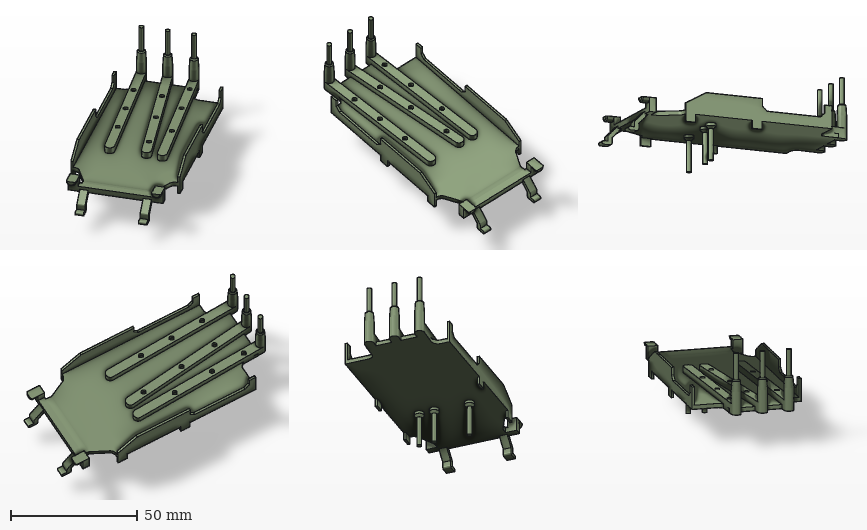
import cadquery as cq
import math


overall_length = 97.6

plate_half_width = 45.0 / 2
plate_thickness = 1.8
plate_back = -10.9
plate_front = -74.2
corner_radius = 2.9
tongue_left = -15.8
tongue_right = 9.7
tongue_back = -2.4
neck_half_width = 14.7
neck_shoulder_half_width = 19.3
neck_start = -83.1

wall_thickness = 1.0
wall_top = 9.4
wall_low_top = 4.4
wall_tab_length = 3.0
wall_notch_front = -41.0
wall_notch_chamfer = 2.0
wall_notch_corner_height = 6.1
wall_slope_start = -65.4
foot_length = 4.2
foot_depth = 3.2
middle_foot_back = -41.2

bar_back = -85.7
bar_front = -88.6
bar_height = 2.3
block_inner = 15.5
block_width = 4.0
block_height = 5.9
lug_length = 3.2
lug_chamfer = 0.5
hook_width = 3.4
hook_top = 1.1
hook_root_back = -87.2
hook_vertical_back = -91.2
hook_vertical_front = -93.1
hook_lip_top = -5.6
hook_bottom = -7.0
hook_heel_radius = 1.0
hook_bend_radius = 0.8

arm_diameter = 4.0
arm_height = 4.4
arm_length = 58.3
port_diameter = 2.0
inlet_pitch = 10.8
middle_inlet_x = -3.4
arms = [
    (middle_inlet_x - inlet_pitch, 3.3, (14.5, 29.1, 43.6)),
    (middle_inlet_x, 7.5, (16.1, 32.6, 51.6)),
    (middle_inlet_x + inlet_pitch, 3.3, (7.9, 23.0, 40.8)),
]

hook_tip = arm_diameter / 2 - overall_length

pin_diameter = 2.0
inlet_sleeve_top = 9.4
inlet_taper_top = 13.8
inlet_taper_diameter = 3.4
inlet_taper_chamfer = 0.5
inlet_pin_top = 25.1
outlet_head_depth = 1.2
outlet_pin_depth = 14.9


def box(x_min, x_max, y_min, y_max, z_min, z_max):
    size = (x_max - x_min, y_max - y_min, z_max - z_min)
    return cq.Workplane("XY").box(*size, centered=False).translate((x_min, y_min, z_min))


def extrude_side_profile(profile, x_min, x_max):
    """Extrude a closed YZ outline from x_min to x_max."""
    return cq.Workplane("YZ").workplane(offset=x_min).polyline(profile).close().extrude(x_max - x_min)


def both_sides(solid):
    return solid.union(solid.mirror("YZ"))


def make_plate():
    outline = [
        (tongue_left, tongue_back),
        (tongue_right, tongue_back),
        (tongue_right, plate_back),
        (plate_half_width, plate_back),
        (plate_half_width, plate_front),
        (neck_shoulder_half_width, plate_front),
        (neck_half_width, neck_start),
        (neck_half_width, bar_back),
        (-neck_half_width, bar_back),
        (-neck_half_width, neck_start),
        (-neck_shoulder_half_width, plate_front),
        (-plate_half_width, plate_front),
        (-plate_half_width, plate_back),
        (tongue_left, plate_back),
    ]
    rounded_corners = [
        (tongue_right, plate_back),
        (tongue_left, plate_back),
        (neck_shoulder_half_width, plate_front),
        (-neck_shoulder_half_width, plate_front),
        (neck_half_width, neck_start),
        (-neck_half_width, neck_start),
    ]
    plate = cq.Workplane("XY").polyline(outline).close().extrude(plate_thickness)
    for x, y in rounded_corners:
        nearest = cq.selectors.NearestToPointSelector((x, y, plate_thickness / 2))
        plate = plate.edges("|Z").edges(nearest).fillet(corner_radius)
    return plate


def make_walls():
    tab_front = plate_back - wall_tab_length
    profile = [
        (plate_back, 0),
        (plate_back, wall_top),
        (tab_front, wall_top),
        (tab_front, wall_notch_corner_height),
        (tab_front - wall_notch_chamfer, wall_low_top),
        (wall_notch_front + wall_notch_chamfer, wall_low_top),
        (wall_notch_front, wall_notch_corner_height),
        (wall_notch_front, wall_top),
        (wall_slope_start, wall_top),
        (plate_front, wall_low_top),
        (plate_front, 0),
    ]
    x_min = plate_half_width - wall_thickness
    wall = extrude_side_profile(profile, x_min, plate_half_width)
    for foot_front in (middle_foot_back - foot_length, plate_front):
        foot_back = foot_front + foot_length
        wall = wall.union(box(x_min, plate_half_width, foot_front, foot_back, -foot_depth, wall_low_top))
    return both_sides(wall)


def make_cross_bar():
    bar = box(-block_inner, block_inner, bar_front, bar_back, 0, bar_height)
    ramp_profile = [
        (neck_start, 0),
        (neck_start, plate_thickness),
        (bar_back, bar_height),
        (bar_back, 0),
    ]
    ramp = extrude_side_profile(ramp_profile, -neck_half_width, neck_half_width)
    block = box(block_inner, block_inner + block_width, bar_front, bar_back, 0, block_height)
    return bar.union(ramp).union(both_sides(block.union(make_lug())))


def make_lug():
    """Half-round lug on the front of a block, flat side level with the block top."""
    radius = block_width / 2
    lug_x = block_inner + radius
    rod = (
        cq.Workplane("XZ", origin=(lug_x, bar_front, block_height))
        .circle(radius)
        .extrude(lug_length)
        .faces("<Y")
        .chamfer(lug_chamfer)
    )
    lower_half = box(
        block_inner, block_inner + block_width,
        bar_front - lug_length, bar_front,
        block_height - radius, block_height,
    )
    return rod.intersect(lower_half)


def make_hooks():
    """Hooks running forwards and down at 45 degrees, ending in a vertical leg and a lip."""
    bend_z = hook_top - (bar_front - hook_vertical_front)
    nose_radius = (hook_lip_top - hook_bottom) / 2
    nose_start = hook_tip + nose_radius
    x_min = neck_half_width - hook_width
    upper_side = [
        (hook_root_back, 0),
        (hook_root_back, hook_top),
        (bar_front, hook_top),
        (hook_vertical_front, bend_z),
        (hook_vertical_front, hook_lip_top),
        (nose_start, hook_lip_top),
    ]
    hook = (
        cq.Workplane("YZ", origin=(x_min, 0, 0))
        .polyline(upper_side)
        .threePointArc((hook_tip, hook_bottom + nose_radius), (nose_start, hook_bottom))
        .lineTo(hook_vertical_back, hook_bottom)
        .lineTo(hook_vertical_back, hook_vertical_back - hook_root_back)
        .close()
        .extrude(hook_width)
    )
    roundings = [
        (hook_vertical_front, bend_z, hook_bend_radius),
        (hook_vertical_back, hook_bottom, hook_heel_radius),
    ]
    for y, z, radius in roundings:
        nearest = cq.selectors.NearestToPointSelector((x_min + hook_width / 2, y, z))
        hook = hook.edges("|X").edges(nearest).fillet(radius)
    return both_sides(hook)


def make_arm():
    """Round-ended arm from the origin along -Y, with its inlet and outlet."""
    arm = (
        cq.Workplane("XY")
        .center(0, -arm_length / 2)
        .slot2D(arm_length + arm_diameter, arm_diameter, 90)
        .extrude(arm_height)
    )
    outlet = make_outlet().translate((0, -arm_length, 0))
    return arm.union(make_inlet()).union(outlet)


def make_inlet():
    sleeve_radius = arm_diameter / 2
    taper_radius = inlet_taper_diameter / 2
    half_section = [
        (0, arm_height),
        (sleeve_radius, arm_height),
        (sleeve_radius, inlet_sleeve_top),
        (taper_radius, inlet_taper_top),
        (taper_radius - inlet_taper_chamfer, inlet_taper_top + inlet_taper_chamfer),
        (pin_diameter / 2, inlet_taper_top + inlet_taper_chamfer),
        (pin_diameter / 2, inlet_pin_top),
        (0, inlet_pin_top),
    ]
    return cq.Workplane("XZ").polyline(half_section).close().revolve(360, (0, 0), (0, 1))


def make_outlet():
    head_radius = arm_diameter / 2
    pin_radius = pin_diameter / 2
    cone_depth = outlet_head_depth + head_radius - pin_radius
    half_section = [
        (0, 0),
        (head_radius, 0),
        (head_radius, -outlet_head_depth),
        (pin_radius, -cone_depth),
        (pin_radius, -outlet_pin_depth),
        (0, -outlet_pin_depth),
    ]
    return cq.Workplane("XZ").polyline(half_section).close().revolve(360, (0, 0), (0, 1))


def make_passages(port_distances):
    """Channel inside an arm, opened to the top by the ports."""
    radius = port_diameter / 2
    passages = (
        cq.Workplane("XZ", origin=(0, 0, arm_height / 2))
        .circle(radius)
        .extrude(arm_length)
    )
    for distance in port_distances:
        port = (
            cq.Workplane("XY", origin=(0, -distance, arm_height / 2))
            .circle(radius)
            .extrude(arm_height / 2)
        )
        passages = passages.union(port)
    return passages


def place_arm(solid, inlet_x, sideways_run):
    """Turn a solid about the inlet axis and move it to its inlet."""
    angle = math.degrees(math.asin(sideways_run / arm_length))
    return solid.rotate((0, 0, 0), (0, 0, 1), angle).translate((inlet_x, 0, 0))


result = make_plate().union(make_walls()).union(make_cross_bar()).union(make_hooks())
for inlet_x, sideways_run, port_distances in arms:
    result = result.union(place_arm(make_arm(), inlet_x, sideways_run))
    result = result.cut(place_arm(make_passages(port_distances), inlet_x, sideways_run))